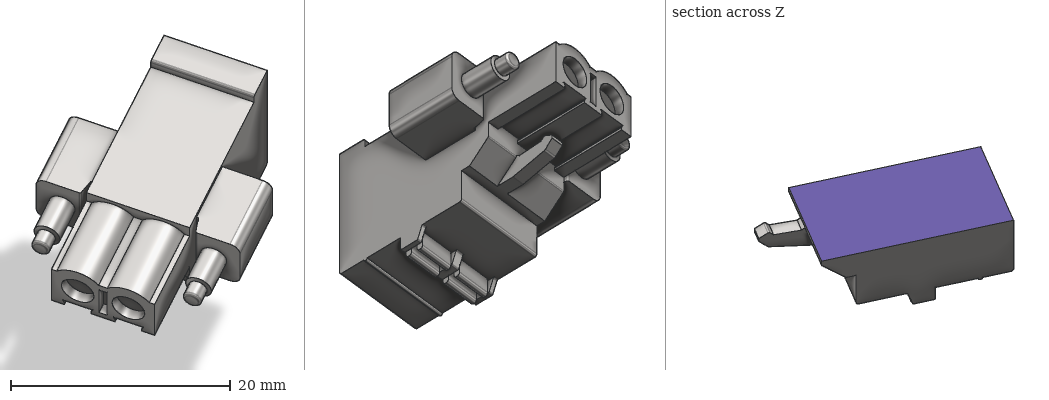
import cadquery as cq


width = 10.2
half_width = width / 2
overall_length = 26.6
overall_height = 16.7
back_y = 18.33
top_z = 3.3
lip_z = 4.23
lip_depth = 3.15
lip_round = 0.25
shoulder_bottom_z = -4.63
bevel_back_y = 2.35
bevel_round = 0.19
step_y = 3.3
step_z = -6.8
bottom_z = -10.48
bottom_round = 0.27
back_chamfer = 0.2

nose_length = overall_length - back_y
nose_shelf_z = 2.0
pitch = 5.0
barrel_radius = 2.87
bore_diameter = 3.2
bore_depth = 1.06
slot_width = 0.77
slot_top_z = 1.28
slot_bottom_z = -2.25
slot_depth = 1.06
groove_top_z = -2.23
groove_waist_z = -2.58
groove_top_width = 2.98
groove_mouth_width = 2.63

overall_width = 20.1
ear_height = 2 * barrel_radius
ear_depth = 7.71
ear_round = 0.98
relief_depth = 1.6
relief_floor_width = 0.2
relief_mouth_width = 0.59
relief_round = 0.15
pin_x = 7.47
pin_diameter = 2.55
pin_length = 3.62
tip_diameter = 1.75
tip_end = 5.27
tip_round = 0.25
pin_shoulder_drop = 0.08

latch_left_x = -1.33
latch_right_x = 0.05
latch_underside_y = 0.4
latch_knee = (-3.5, -5.9)
latch_nose_y = -4.42
latch_nose_bottom_z = -4.97
latch_nose_top_z = -4.6
latch_ridge = (-3.43, -4.1)
latch_ridge_foot = (-3.0, -4.52)
latch_root = (-0.35, -4.68)
latch_root_top_z = -4.47
latch_ridge_round = 0.15
latch_knee_round = 0.4

bead_y = 15.14
bead_radius = 0.2
tab_bottom_z = -11.97
tab_back_y = 10.85
tab_front_top_y = 8.17
tab_front_bottom_y = 8.72
outer_tab_width = 0.5
tab_round = 0.13
middle_tab_width = 0.9
foot_bottom_z = lip_z - overall_height
foot_width = 3.8
foot_thickness = 0.7
foot_round = 0.32
foot_front_ys = (10.08, 8.72)

barrel_xs = (-pitch / 2, pitch / 2)


def box(x0, x1, y0, y1, z0, z1):
    """Box between two opposite corners."""
    return cq.Workplane("XY").box(x1 - x0, y1 - y0, z1 - z0, centered=False).translate((x0, y0, z0))


def side_plate(points, x0, x1):
    """Closed (Y, Z) outline extruded from x0 to x1."""
    return cq.Workplane("YZ").polyline(points).close().extrude(x1 - x0).translate((x0, 0, 0))


def cylinder_y(x, diameter, y0, y1):
    """Cylinder along Y at the height of the contact axis, from y0 back to y1."""
    return cq.Workplane("XZ", origin=(x, y1, 0)).circle(diameter / 2).extrude(y1 - y0)


def cross_edge(body, y, z, x=0):
    """Select the edge running along X whose middle is nearest to (x, y, z)."""
    return body.edges("|X").edges(cq.selectors.NearestToPointSelector((x, y, z)))


def make_housing():
    """Block with a raised rear lip, a stepped underside and a bevel below the shoulder."""
    outline = [
        (back_y, lip_z),
        (back_y - lip_depth, lip_z),
        (back_y - lip_depth, top_z),
        (0, top_z),
        (0, shoulder_bottom_z),
        (bevel_back_y, step_z),
        (step_y, step_z),
        (step_y, bottom_z),
        (back_y, bottom_z),
    ]
    housing = side_plate(outline, -half_width, half_width)
    housing = cross_edge(housing, back_y - lip_depth, lip_z).fillet(lip_round)
    housing = cross_edge(housing, 0, shoulder_bottom_z).fillet(bevel_round)
    housing = cross_edge(housing, step_y, bottom_z).fillet(bottom_round)
    return cross_edge(housing, back_y, bottom_z).chamfer(back_chamfer)


def make_nose():
    """Twin-barrel nose with blind bores, a centre slot and dovetail grooves underneath."""
    nose = box(-half_width, half_width, -nose_length, 0, -barrel_radius, nose_shelf_z)
    upper_half = box(-half_width, half_width, -nose_length, 0, 0, barrel_radius)
    for x in barrel_xs:
        nose = nose.union(cylinder_y(x, 2 * barrel_radius, -nose_length, 0).intersect(upper_half))
    for x in barrel_xs:
        groove = [
            (x - groove_top_width / 2, groove_top_z),
            (x + groove_top_width / 2, groove_top_z),
            (x + groove_mouth_width / 2, groove_waist_z),
            (x + groove_mouth_width / 2, -barrel_radius),
            (x - groove_mouth_width / 2, -barrel_radius),
            (x - groove_mouth_width / 2, groove_waist_z),
        ]
        nose = nose.cut(cq.Workplane("XZ").polyline(groove).close().extrude(nose_length))
        nose = nose.cut(cylinder_y(x, bore_diameter, -nose_length, bore_depth - nose_length))
    slot_back_y = slot_depth - nose_length
    slot = box(-slot_width / 2, slot_width / 2, -nose_length, slot_back_y, slot_bottom_z, slot_top_z)
    return nose.cut(slot)


def make_pin():
    """Stepped pin with a slightly conical shoulder and a rounded tip."""
    shoulder_y = -pin_length - pin_shoulder_drop
    half_outline = [
        (pin_x, 0),
        (pin_x + pin_diameter / 2, 0),
        (pin_x + pin_diameter / 2, -pin_length),
        (pin_x + tip_diameter / 2, shoulder_y),
        (pin_x + tip_diameter / 2, -tip_end),
        (pin_x, -tip_end),
    ]
    pin = cq.Workplane("XY").polyline(half_outline).close().revolve(360, (pin_x, 0, 0), (pin_x, 1, 0))
    return pin.faces("<Y").edges().fillet(tip_round)


def make_ear():
    """Right-hand ear with its guide pin."""
    ear = box(0, overall_width / 2, 0, ear_depth, -ear_height / 2, ear_height / 2)
    ear = ear.edges("|Y and >X").fillet(ear_round)
    relief = [
        (half_width, 0),
        (half_width + relief_mouth_width, 0),
        (half_width + relief_floor_width, relief_depth),
        (half_width, relief_depth),
    ]
    ear = ear.cut(cq.Workplane("XY").polyline(relief).close().extrude(ear_height, both=True))
    mouth_edge = cq.selectors.NearestToPointSelector((half_width + relief_mouth_width, 0, 0))
    ear = ear.edges(mouth_edge).fillet(relief_round)
    return ear.union(make_pin())


def make_latch():
    """Finger reaching forward from the bevel."""
    outline = [
        (step_y, step_z),
        (latch_underside_y, step_z),
        latch_knee,
        (latch_nose_y, latch_nose_bottom_z),
        (latch_nose_y, latch_nose_top_z),
        latch_ridge,
        latch_ridge_foot,
        latch_root,
        (0, latch_root_top_z),
        (step_y, latch_root_top_z),
    ]
    latch = side_plate(outline, latch_left_x, latch_right_x)
    latch = cross_edge(latch, *latch_ridge).fillet(latch_ridge_round)
    return cross_edge(latch, *latch_knee).fillet(latch_knee_round)


def make_tab(x0, x1):
    """Tapered tab below the housing."""
    outline = [
        (tab_back_y, bottom_z),
        (tab_back_y, tab_bottom_z),
        (tab_front_bottom_y, tab_bottom_z),
        (tab_front_top_y, bottom_z),
    ]
    return side_plate(outline, x0, x1).edges("|X and <Z").fillet(tab_round)


def make_foot(x, front_y):
    """Thin blade with a rounded lower end, hanging below the housing."""
    half_foot = foot_width / 2
    foot = box(x - half_foot, x + half_foot, front_y, front_y + foot_thickness, foot_bottom_z, bottom_z)
    return foot.edges("|X and <Z").fillet(foot_round)


def make_bead():
    """Half-round bead across the underside."""
    return cq.Workplane("YZ", origin=(-half_width, bead_y, bottom_z)).circle(bead_radius).extrude(width)


result = make_housing().union(make_nose()).union(make_latch()).union(make_bead())

right_ear = make_ear()
result = result.union(right_ear).union(right_ear.mirror("YZ"))

tab_spans = (
    (-half_width, outer_tab_width - half_width),
    (-middle_tab_width / 2, middle_tab_width / 2),
    (half_width - outer_tab_width, half_width),
)
for x0, x1 in tab_spans:
    result = result.union(make_tab(x0, x1))
    result = cross_edge(result, tab_front_top_y, bottom_z, (x0 + x1) / 2).fillet(tab_round)

for x in barrel_xs:
    for front_y in foot_front_ys:
        result = result.union(make_foot(x, front_y))